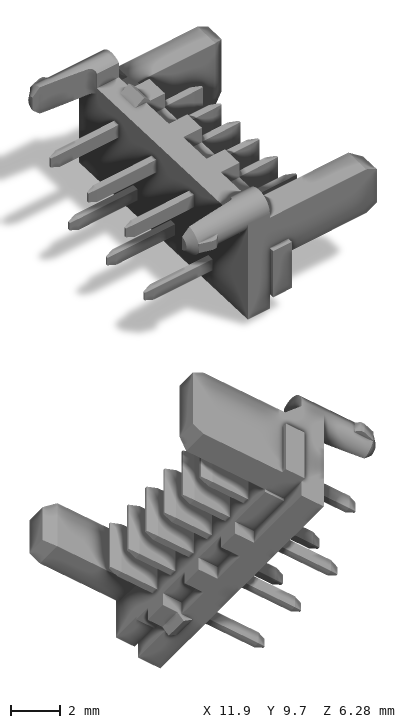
import cadquery as cq


TOTAL_WIDTH = 11.86
BODY_WIDTH = 11.41
HALF_BODY = BODY_WIDTH / 2
BODY_HEIGHT = 4.98
WALL_DEPTH = 1.09
BODY_DEPTH = 2.02

ARM_WIDTH = 1.21
ARM_INNER = HALF_BODY - ARM_WIDTH
ARM_END = 6.4
ARM_TIP_LENGTH = 0.52
ARM_TIP_DROP = 0.28
LEFT_ARM_BOTTOM = 0.78
LEFT_ARM_TOP = 4.19
RIGHT_ARM_BOTTOM = 2.59

RAIL_BOTTOM = LEFT_ARM_BOTTOM
RAIL_TOP = 3.32

LEDGE_BOTTOM = 0.65
LEDGE_TOP = LEFT_ARM_TOP
TOOTH_WIDTH = 0.97
END_TOOTH_WIDTH = 1.04

RIDGE_HEIGHT = 0.32
RIDGE_FRONT = 0.55
RIDGE_PEAK = 1.0
RIDGE_BACK = 1.3

PIN_PITCH = 1.27
PIN_COUNT = 6
PIN_WIDTH = 0.3
UPPER_PIN_HEIGHT = 0.69
LOWER_PIN_HEIGHT = 0.6
UPPER_PIN_Z = 3.75
LOWER_PIN_Z = 1.21
BLADE_HEIGHT = 2.66
BLADE_Z = BODY_HEIGHT / 2
PIN_FRONT = -3.3
PIN_TAPER = 0.38
BLADE_END = 4.26
BLADE_TAPER = 0.49
PIN_TIP_INSET = 0.101

PEG_RADIUS = 0.72
PEG_X = HALF_BODY - PEG_RADIUS
PEG_Z = 5.24
PEG_TIP = -2.79
PEG_TIP_CHAMFER = 0.35
PEG_SHOULDER = PEG_TIP + PEG_TIP_CHAMFER
PEG_ROOT_X = 4.75
PEG_FLAT_X = 5.05
PEG_ROOT_FILLET = 0.27

BARB_HEIGHT = 0.49
BARB_REACH = 5.88
BARB_BACK = -1.5
BARB_PEAK_BACK = -1.68
BARB_PEAK_FRONT = -1.87


def block(x0, x1, y0, y1, z0, z1):
    """Box between two opposite corners."""
    return cq.Workplane("XY").box(x1 - x0, y1 - y0, z1 - z0, centered=False).translate((x0, y0, z0))


def prism_along_x(points, x0, x1):
    """Extrude a (Y, Z) outline from x0 to x1."""
    return cq.Workplane("YZ").workplane(offset=x0).polyline(points).close().extrude(x1 - x0)


def prism_along_z(points, z0, z1):
    """Extrude an (X, Y) outline from z0 to z1."""
    return cq.Workplane("XY").workplane(offset=z0).polyline(points).close().extrude(z1 - z0)


def guide_arm(side, bottom, top):
    """Arm on the side -1 or +1, tapered at its far end on the top, bottom and inner faces."""
    taper_start = ARM_END - ARM_TIP_LENGTH
    side_outline = [
        (0, bottom),
        (taper_start, bottom),
        (ARM_END, bottom + ARM_TIP_DROP),
        (ARM_END, top - ARM_TIP_DROP),
        (taper_start, top),
        (0, top),
    ]
    plan_outline = [
        (side * ARM_INNER, 0),
        (side * HALF_BODY, 0),
        (side * HALF_BODY, ARM_END),
        (side * (ARM_INNER + ARM_TIP_DROP), ARM_END),
        (side * ARM_INNER, taper_start),
    ]
    plan = prism_along_z(plan_outline, 0, BODY_HEIGHT)
    return prism_along_x(side_outline, -HALF_BODY, HALF_BODY).intersect(plan)


def pin_x(index):
    """X position of a pin; index 0 is the pin at the -X end."""
    return (index - (PIN_COUNT - 1) / 2) * PIN_PITCH


def ridge():
    """Triangular ridge on top of the wall, in line with the first pin."""
    outline = [
        (RIDGE_FRONT, BODY_HEIGHT),
        (RIDGE_PEAK, BODY_HEIGHT + RIDGE_HEIGHT),
        (RIDGE_BACK, BODY_HEIGHT),
    ]
    center = pin_x(0)
    return prism_along_x(outline, center - END_TOOTH_WIDTH / 2, center + END_TOOTH_WIDTH / 2)


def tapered_pin(direction, start, length, taper, height, x, z):
    """Flat bar running from Y = start along +Y or -Y (direction +1 or -1), tapered at its far end."""
    plane = cq.Plane(origin=(x, start, z), xDir=(1, 0, 0), normal=(0, direction, 0))
    shank = cq.Workplane(plane).rect(PIN_WIDTH, height).extrude(length - taper)
    tip = (
        cq.Workplane(plane)
        .workplane(offset=length - taper)
        .rect(PIN_WIDTH, height)
        .workplane(offset=taper)
        .rect(PIN_WIDTH - 2 * PIN_TIP_INSET, height - 2 * PIN_TIP_INSET)
        .loft(ruled=True)
    )
    return shank.union(tip)


def board_peg():
    """Round peg of the +X side with a tapered inner flat, a coned tip and an outer barb."""
    rod = (
        cq.Workplane("XZ", origin=(PEG_X, WALL_DEPTH, PEG_Z))
        .circle(PEG_RADIUS)
        .extrude(WALL_DEPTH - PEG_TIP)
        .faces("<Y")
        .chamfer(PEG_TIP_CHAMFER)
    )
    plan_outline = [
        (ARM_INNER, WALL_DEPTH),
        (ARM_INNER, 0),
        (PEG_ROOT_X, 0),
        (PEG_FLAT_X, PEG_SHOULDER),
        (PEG_FLAT_X, PEG_TIP),
        (HALF_BODY, PEG_TIP),
        (HALF_BODY, WALL_DEPTH),
    ]
    plan = (
        prism_along_z(plan_outline, PEG_Z - PEG_RADIUS, PEG_Z + PEG_RADIUS)
        .edges(cq.selectors.NearestToPointSelector((PEG_ROOT_X, 0, PEG_Z)))
        .fillet(PEG_ROOT_FILLET)
    )
    barb_outline = [
        (PEG_X, BARB_BACK),
        (HALF_BODY, BARB_BACK),
        (BARB_REACH, BARB_PEAK_BACK),
        (BARB_REACH, BARB_PEAK_FRONT),
        (HALF_BODY, PEG_SHOULDER),
        (PEG_FLAT_X, PEG_SHOULDER),
    ]
    barb = prism_along_z(barb_outline, PEG_Z - BARB_HEIGHT / 2, PEG_Z + BARB_HEIGHT / 2)
    seat = block(PEG_X, HALF_BODY, 0, WALL_DEPTH, PEG_Z - PEG_RADIUS, PEG_Z)
    return rod.intersect(plan).union(barb).union(seat)


body = block(-HALF_BODY, HALF_BODY, 0, WALL_DEPTH, 0, BODY_HEIGHT)
body = body.union(block(-ARM_INNER, ARM_INNER, 0, BODY_DEPTH, LEDGE_BOTTOM, LEDGE_TOP))
body = body.union(guide_arm(-1, LEFT_ARM_BOTTOM, LEFT_ARM_TOP))
body = body.union(guide_arm(1, RIGHT_ARM_BOTTOM, BODY_HEIGHT))

ramp_size = BODY_HEIGHT - LEFT_ARM_TOP
ramp = [
    (WALL_DEPTH, LEFT_ARM_TOP),
    (WALL_DEPTH + ramp_size, LEFT_ARM_TOP),
    (WALL_DEPTH, BODY_HEIGHT),
]
body = body.union(prism_along_x(ramp, -HALF_BODY, -PEG_X))

body = body.union(
    block(-TOTAL_WIDTH / 2, TOTAL_WIDTH / 2, WALL_DEPTH, BODY_DEPTH, RAIL_BOTTOM, RAIL_TOP)
)

for index in range(PIN_COUNT):
    x = pin_x(index)
    half_tooth = (END_TOOTH_WIDTH if index in (0, PIN_COUNT - 1) else TOOTH_WIDTH) / 2
    if index % 2 == 0:
        pin_z, pin_height = UPPER_PIN_Z, UPPER_PIN_HEIGHT
        tooth_bottom, tooth_top = LEDGE_TOP, BODY_HEIGHT
    else:
        pin_z, pin_height = LOWER_PIN_Z, LOWER_PIN_HEIGHT
        tooth_bottom, tooth_top = 0, LEDGE_BOTTOM
    tooth = block(x - half_tooth, x + half_tooth, 0, BODY_DEPTH, tooth_bottom, tooth_top)
    board_pin = tapered_pin(-1, 0, -PIN_FRONT, PIN_TAPER, pin_height, x, pin_z)
    blade = tapered_pin(1, BODY_DEPTH, BLADE_END - BODY_DEPTH, BLADE_TAPER, BLADE_HEIGHT, x, BLADE_Z)
    body = body.union(tooth).union(board_pin).union(blade)

body_center = (0, 0, BODY_HEIGHT / 2)
top_ridge = ridge()
bottom_ridge = top_ridge.rotate(body_center, (0, 1, BODY_HEIGHT / 2), 180)
body = body.union(top_ridge).union(bottom_ridge)

right_peg = board_peg()
result = body.union(right_peg).union(right_peg.mirror("YZ"))